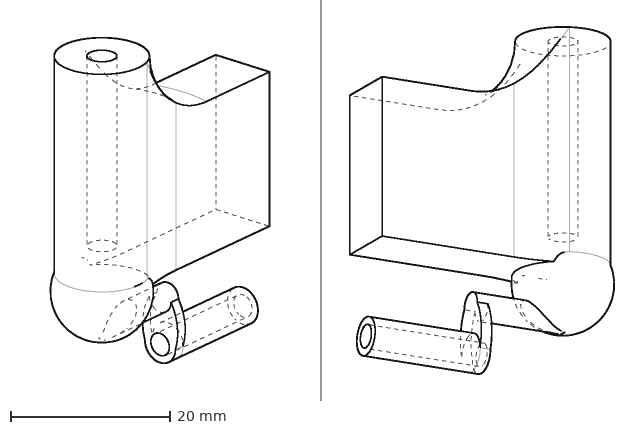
import cadquery as cq
import math

height = 45.45
barrel_radius = 6.0
ball_radius = 6.48
ball_z = 13.45
bore_diameter = 3.77

leaf_width = 8.78
leaf_end_y = 27.9
leaf_bottom_z = 14.45
flank_radius = 21.35
top_fillet_radius = 10.0

lower_pin_radius = 2.5
lower_pin_bore_diameter = 3.0
upper_pin_radius = 1.77
upper_pin_z = 8.7
link_front_y = 11.55
link_thickness = 1.5
link_half_width = 2.77
link_widest_z = 5.9


def pin_along_y(radius, z, start_y, end_y):
    """Solid round pin parallel to Y between two Y positions."""
    return (
        cq.Workplane("XZ", origin=(0, start_y, z))
        .circle(radius)
        .extrude(start_y - end_y)
    )


def make_leaf():
    """Block with concave flanks tangent to the barrel and a swept top fillet."""
    half_width = leaf_width / 2
    arc_x = half_width + flank_radius
    arc_distance = barrel_radius + flank_radius
    arc_y = math.sqrt(arc_distance**2 - arc_x**2)
    touch_x = arc_x * barrel_radius / arc_distance
    touch_y = arc_y * barrel_radius / arc_distance
    middle_angle = (math.pi + math.atan2(-arc_y, -arc_x) % (2 * math.pi)) / 2
    middle_x = arc_x + flank_radius * math.cos(middle_angle)
    middle_y = arc_y + flank_radius * math.sin(middle_angle)
    leaf = (
        cq.Workplane("XY", origin=(0, 0, leaf_bottom_z))
        .moveTo(-half_width, leaf_end_y)
        .lineTo(half_width, leaf_end_y)
        .lineTo(half_width, arc_y)
        .threePointArc((middle_x, middle_y), (touch_x, touch_y))
        .lineTo(0, 0)
        .lineTo(-touch_x, touch_y)
        .threePointArc((-middle_x, middle_y), (-half_width, arc_y))
        .close()
        .extrude(height - leaf_bottom_z)
    )
    fillet_outer = barrel_radius + top_fillet_radius
    leaf_top_z = height - top_fillet_radius
    diagonal = top_fillet_radius * math.sqrt(0.5)
    clear_radius = leaf_end_y + leaf_width
    clearance = (
        cq.Workplane("XZ")
        .moveTo(barrel_radius, height)
        .threePointArc(
            (fillet_outer - diagonal, height - diagonal), (fillet_outer, leaf_top_z)
        )
        .lineTo(clear_radius, leaf_top_z)
        .lineTo(clear_radius, height)
        .close()
        .revolve(360, (0, 0, 0), (0, 1, 0))
    )
    return leaf.cut(clearance)


def make_cylinder():
    """Barrel cylinder rising from the ball center to the top face."""
    return (
        cq.Workplane("XY", origin=(0, 0, ball_z))
        .circle(barrel_radius)
        .extrude(height - ball_z)
    )


def make_bore():
    """Bore through the barrel, down to the ball center."""
    return (
        cq.Workplane("XY", origin=(0, 0, ball_z))
        .circle(bore_diameter / 2)
        .extrude(height - ball_z)
    )


def make_ball():
    """Ball whose intact top forms the domed floor of the bore."""
    return cq.Workplane("XY", origin=(0, 0, ball_z)).sphere(ball_radius)


def make_crank():
    """Upper pin from the ball, bulged link, and bored lower pin."""
    link_back_y = link_front_y + link_thickness
    link = (
        cq.Workplane("XZ", origin=(0, link_back_y, 0))
        .moveTo(-lower_pin_radius, lower_pin_radius)
        .threePointArc((0, 0), (lower_pin_radius, lower_pin_radius))
        .threePointArc((link_half_width, link_widest_z), (upper_pin_radius, upper_pin_z))
        .threePointArc((0, upper_pin_z + upper_pin_radius), (-upper_pin_radius, upper_pin_z))
        .threePointArc((-link_half_width, link_widest_z), (-lower_pin_radius, lower_pin_radius))
        .close()
        .extrude(link_thickness)
    )
    upper_pin = pin_along_y(upper_pin_radius, upper_pin_z, 0, link_back_y)
    lower_pin = pin_along_y(lower_pin_radius, lower_pin_radius, link_front_y, leaf_end_y)
    lower_bore = pin_along_y(
        lower_pin_bore_diameter / 2, lower_pin_radius, link_front_y, leaf_end_y
    )
    return link.union(upper_pin).union(lower_pin).cut(lower_bore)


bored_barrel = make_cylinder().union(make_leaf()).cut(make_bore())
result = bored_barrel.union(make_ball()).union(make_crank())